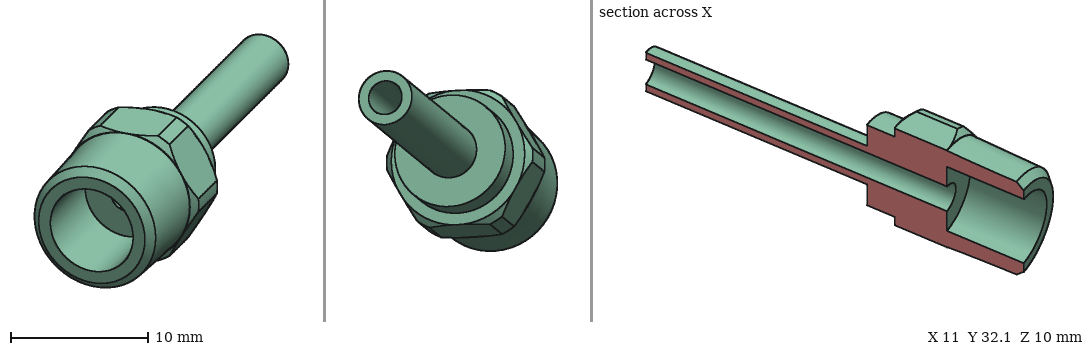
import cadquery as cq
import math

total_length = 32.1
nose_length = 6.52
hex_length = 4.45
collar_length = 2.35

gauge_distance = 3.05
gauge_radius = 4.88
taper_slope = 1 / 32
nose_chamfer_length = 0.6
nose_tip_radius = 4.2

hex_across_flats = 10.0
hex_turned_diameter = 11.0
hex_bevel = 0.48

collar_diameter = 8.3
tube_diameter = 4.0
socket_diameter = 6.55
socket_depth = nose_length
bore_diameter = 2.5

hex_start = nose_length
collar_start = hex_start + hex_length
tube_start = collar_start + collar_length


def cylinder(diameter, start, length):
    """Cylinder about the Y axis, running toward +Y from start."""
    plane = cq.Workplane("XZ", origin=(0, start, 0))
    return plane.circle(diameter / 2).extrude(-length)


def taper_radius(y):
    """Radius of the nose cone at distance y from the tip."""
    return gauge_radius + (y - gauge_distance) * taper_slope


def tapered_nose():
    profile = (
        cq.Workplane("XY")
        .moveTo(0, 0)
        .lineTo(nose_tip_radius, 0)
        .lineTo(taper_radius(nose_chamfer_length), nose_chamfer_length)
        .lineTo(taper_radius(nose_length), nose_length)
        .lineTo(0, nose_length)
        .close()
    )
    return profile.revolve(360, (0, 0, 0), (0, 1, 0))


def hexagon():
    """Hexagonal prism with corners on the X axis, trimmed by a bevelled cylinder."""
    hex_across_corners = hex_across_flats / math.cos(math.pi / 6)
    prism = (
        cq.Workplane("XZ", origin=(0, hex_start, 0))
        .polygon(6, hex_across_corners)
        .extrude(-hex_length)
    )
    turned_blank = cylinder(hex_turned_diameter, hex_start, hex_length)
    turned_blank = turned_blank.faces("<Y or >Y").edges().chamfer(hex_bevel)
    return prism.intersect(turned_blank)


collar = cylinder(collar_diameter, collar_start, collar_length)
tube = cylinder(tube_diameter, tube_start, total_length - tube_start)
body = tapered_nose().union(hexagon()).union(collar).union(tube)

socket = cylinder(socket_diameter, 0, socket_depth)
bore = cylinder(bore_diameter, 0, total_length)
result = body.cut(socket).cut(bore)